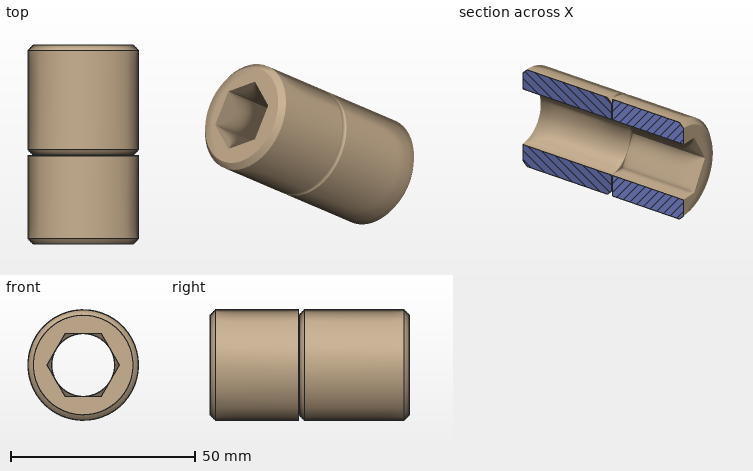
import cadquery as cq

outer_diameter = 30.0
bore_diameter = 17.0
edge_chamfer = 1.5

overall_length = 54.0
socket_length = 24.0
joint_gap = 0.1
sleeve_length = overall_length - socket_length - joint_gap

hex_across_corners = bore_diameter * 2 / 3**0.5


def y_workplane(start_y):
    """Workplane facing -Y, centred on the Y axis; a negative extrusion runs toward +Y."""
    return cq.Workplane("XZ", origin=(0, start_y, 0))


def make_socket():
    """Front body: chamfered at its outer end, with a hexagon right through."""
    start_y = -socket_length
    body = y_workplane(start_y).circle(outer_diameter / 2).extrude(-socket_length)
    body = body.faces("<Y").edges().chamfer(edge_chamfer)
    hexagon = y_workplane(start_y).polygon(6, hex_across_corners).extrude(-socket_length)
    return body.cut(hexagon)


def make_sleeve():
    """Rear body: chamfered at both ends, with a round bore right through."""
    start_y = joint_gap
    body = y_workplane(start_y).circle(outer_diameter / 2).extrude(-sleeve_length)
    body = body.faces("<Y or >Y").edges().chamfer(edge_chamfer)
    bore = y_workplane(start_y).circle(bore_diameter / 2).extrude(-sleeve_length)
    return body.cut(bore)


socket = make_socket()
sleeve = make_sleeve()

result = cq.Compound.makeCompound([socket.val(), sleeve.val()])